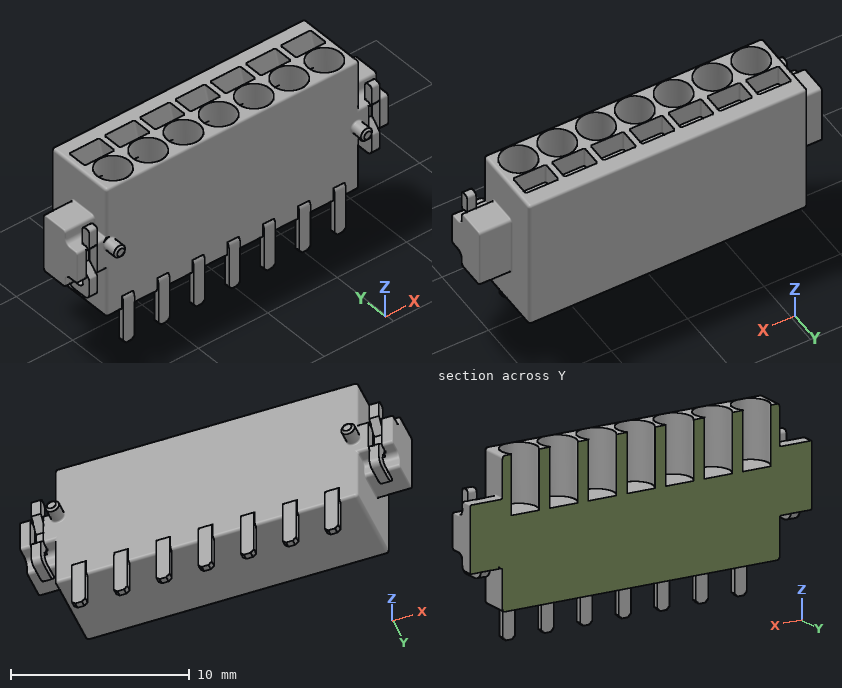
import cadquery as cq

body_width = 18.25
body_depth = 4.9
body_height = 9.21
edge_radius = 0.2

pole_count = 7
pole_pitch = 2.55
pole_xs = [(i - (pole_count - 1) / 2) * pole_pitch for i in range(pole_count)]

entry_diameter = 2.25
entry_y = 1.28
entry_depth = 3.6
pocket_width = 2.15
pocket_front_y = 2.45
pocket_back_y = 3.85
pocket_floor_back_y = 3.42
pocket_depth = 1.35
pocket_corner_radius = 0.11

pin_width = 0.8
pin_front_y = -0.13
pin_back_y = 0.22
pin_top_z = 1.0
pin_bottom_z = -2.34
pin_bend_height = 0.34
pin_tip_chamfer = 0.2

overall_width = 22.47
wing_z = 4.63
wing_height = 4.1
wing_depth = 3.03
wing_step_y = 1.05
wing_neck_height = 2.25
wing_corner_radius = 0.22
wing_inner_radius = 0.4
wing_end_radius = 0.1
wing_root_radius = 0.1

anchor_x = 10.18
anchor_width = 0.58
slot_width = 0.79
slot_depth = 0.65
slot_top_web = 0.13
anchor_front_y = -0.13
anchor_back_y = 0.47
anchor_top_z = 7.0
anchor_bottom_z = 2.05
anchor_top_radius = 0.2
anchor_shoulder_radius = 0.2
anchor_heel_radius = 0.43
anchor_notch_y = 0.58
anchor_notch_floor_bottom_z = 4.22
anchor_notch_floor_top_z = 4.97
anchor_toe_start_y = 1.17
anchor_toe_end_y = 1.89
hook_eye_y = 0.83
hook_eye_radius = 0.4

peg_diameter = 0.8
peg_length = 1.0
peg_x = 8.9
peg_left_z = 5.24
peg_right_z = 4.58
peg_tip_chamfer = 0.13
peg_root_radius = 0.11

half_body = body_width / 2
half_overall = overall_width / 2
wing_top_z = wing_z + wing_height / 2
wing_bottom_z = wing_z - wing_height / 2
neck_top_z = wing_z + wing_neck_height / 2
neck_bottom_z = wing_z - wing_neck_height / 2


def block(x_range, y_range, z_range):
    """Box between pairs of x, y and z limits."""
    limits = (x_range, y_range, z_range)
    sizes = [high - low for low, high in limits]
    corner = tuple(low for low, high in limits)
    return cq.Workplane("XY").box(*sizes, centered=False).translate(corner)


def make_housing():
    """Plain block with every edge rounded."""
    housing = block((-half_body, half_body), (0, body_depth), (0, body_height))
    return housing.edges().fillet(edge_radius)


def make_wing():
    """Slotted T-section wing on the +X side, starting inside the housing."""
    start_x = half_body - edge_radius
    section = [
        (0, neck_bottom_z),
        (wing_step_y, neck_bottom_z),
        (wing_step_y, wing_bottom_z),
        (wing_depth, wing_bottom_z),
        (wing_depth, wing_top_z),
        (wing_step_y, wing_top_z),
        (wing_step_y, neck_top_z),
        (0, neck_top_z),
    ]
    plane = cq.Workplane("YZ", origin=(start_x, 0, 0))
    wing = plane.polyline(section).close().extrude(half_overall - start_x)
    for inner_z in (neck_bottom_z, neck_top_z):
        edge_middle = ((start_x + half_overall) / 2, wing_step_y, inner_z)
        inner_corner = cq.selectors.NearestToPointSelector(edge_middle)
        wing = wing.edges(inner_corner).fillet(wing_inner_radius)
    wing = wing.edges("|X and (>Z or <Z)").fillet(wing_corner_radius)
    wing = wing.edges("|X and <Y").fillet(edge_radius)
    wing = wing.faces(">X").edges().fillet(wing_end_radius)
    slot = block(
        (anchor_x - slot_width / 2, anchor_x + slot_width / 2),
        (0, slot_depth),
        (neck_bottom_z, neck_top_z - slot_top_web),
    )
    return wing.cut(slot)


def fillet_wing_roots(part):
    """Blend each wing into the flat end wall of the housing, behind its rounded front edge."""
    for wall_x in (-half_body, half_body):
        root_edges = cq.selectors.BoxSelector(
            (wall_x - wing_root_radius, edge_radius, wing_bottom_z - wing_root_radius),
            (wall_x + wing_root_radius, wing_depth + wing_root_radius, wing_top_z + wing_root_radius),
        )
        part = part.edges(root_edges).fillet(wing_root_radius)
    return part


def make_anchor():
    """Hooked plate on the +X side: prong on top, notched stem in the slot, hook under the wing."""
    plane = cq.Workplane("YZ", origin=(anchor_x - anchor_width / 2, 0, 0))
    profile = (
        plane.moveTo(anchor_front_y, neck_top_z)
        .lineTo(anchor_notch_y, anchor_notch_floor_top_z)
        .lineTo(anchor_notch_y, anchor_notch_floor_bottom_z)
        .lineTo(anchor_front_y, neck_bottom_z)
        .lineTo(anchor_front_y, anchor_bottom_z + anchor_heel_radius)
        .tangentArcPoint((anchor_front_y + anchor_heel_radius, anchor_bottom_z), relative=False)
        .lineTo(anchor_toe_start_y, anchor_bottom_z)
        .tangentArcPoint((anchor_toe_end_y, wing_bottom_z), relative=False)
        .lineTo(hook_eye_y, wing_bottom_z)
        .threePointArc(
            (hook_eye_y - hook_eye_radius, wing_bottom_z + hook_eye_radius),
            (hook_eye_y, wing_bottom_z + 2 * hook_eye_radius),
        )
        .lineTo(slot_depth, neck_bottom_z)
        .lineTo(slot_depth, neck_top_z)
        .lineTo(anchor_back_y, neck_top_z)
        .lineTo(anchor_back_y, anchor_top_z)
        .lineTo(anchor_front_y, anchor_top_z)
        .close()
    )
    anchor = profile.extrude(anchor_width)
    shoulder = cq.selectors.NearestToPointSelector((anchor_x, anchor_front_y, neck_bottom_z))
    anchor = anchor.edges(shoulder).fillet(anchor_shoulder_radius)
    return anchor.edges("|X and >Z").fillet(anchor_top_radius)


def make_pin(x):
    """Flat solder pin, rounded where it enters the housing and chamfered at its tip."""
    profile = (
        cq.Workplane("YZ", origin=(x - pin_width / 2, 0, 0))
        .moveTo(pin_front_y, pin_bottom_z)
        .lineTo(pin_front_y, pin_top_z - pin_bend_height)
        .tangentArcPoint((0, pin_top_z), relative=False)
        .lineTo(pin_back_y, pin_top_z)
        .lineTo(pin_back_y, pin_bottom_z)
        .close()
    )
    return profile.extrude(pin_width).edges("|Y and <Z").chamfer(pin_tip_chamfer)


def make_peg(x, z):
    """Locating peg with a flared root and a chamfered tip, revolved about its axis."""
    radius = peg_diameter / 2
    profile = (
        cq.Workplane("XY", origin=(x, 0, z))
        .moveTo(0, edge_radius)
        .lineTo(radius + peg_root_radius, edge_radius)
        .lineTo(radius + peg_root_radius, 0)
        .radiusArc((radius, -peg_root_radius), -peg_root_radius)
        .lineTo(radius, -peg_length + peg_tip_chamfer)
        .lineTo(radius - peg_tip_chamfer, -peg_length)
        .lineTo(0, -peg_length)
        .close()
    )
    return profile.revolve(360, (0, 0, 0), (0, 1, 0))


def make_entry(x):
    """Cutter for one round wire entry."""
    floor_z = body_height - entry_depth
    plane = cq.Workplane("XY", origin=(x, entry_y, floor_z))
    return plane.circle(entry_diameter / 2).extrude(entry_depth)


def make_pocket(x):
    """Cutter for one release pocket with a sloped back wall."""
    floor_z = body_height - pocket_depth
    section = [
        (pocket_front_y, body_height),
        (pocket_front_y, floor_z),
        (pocket_floor_back_y, floor_z),
        (pocket_back_y, body_height),
    ]
    plane = cq.Workplane("YZ", origin=(x - pocket_width / 2, 0, 0))
    pocket = plane.polyline(section).close().extrude(pocket_width)
    return pocket.faces("<Y or >Y").edges("not |X").fillet(pocket_corner_radius)


wing = make_wing()
anchor = make_anchor()
result = make_housing().union(wing).union(wing.mirror("YZ"))
result = fillet_wing_roots(result)
result = result.union(anchor).union(anchor.mirror("YZ"))
for pole_x in pole_xs:
    result = result.union(make_pin(pole_x)).cut(make_entry(pole_x)).cut(make_pocket(pole_x))
result = result.union(make_peg(-peg_x, peg_left_z)).union(make_peg(peg_x, peg_right_z))